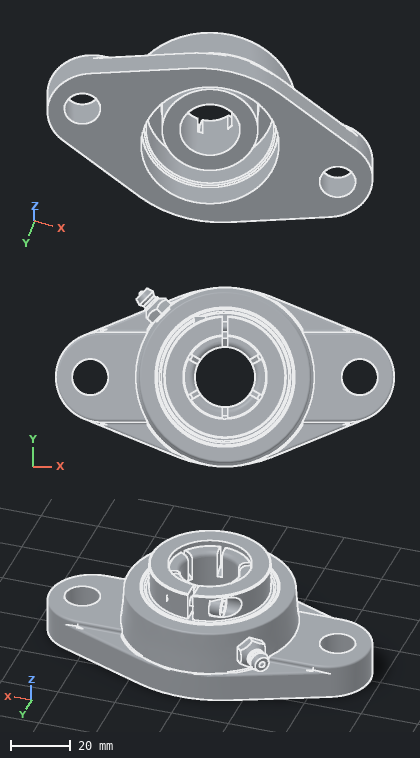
import cadquery as cq
import math

EAR_OFFSET = 41.5
EAR_RADIUS = 15.0
BOLT_OFFSET = 45.0
BOLT_DIAMETER = 12.0
EAR_HEIGHT = 12.3
WEB_HEIGHT = 10.3
EDGE_FILLET = 1.0
EAR_ROOT_FILLET = 0.9
FLANK_RADIUS = 42.0
FLANGE_WIDTH = 59.5
BOSS_BOTTOM_RADIUS = 30.0
BOSS_TOP_RADIUS = 28.7
BOSS_TOP = 25.5
BOSS_FILLET = 0.8
BOSS_ROOT_FILLET = 0.5
BORE_DIAMETER = 46.0
BORE_CHAMFER = 0.3

BEARING_HEIGHT = 17.5
SPHERE_DIAMETER = 48.0
OUTER_RING_WIDTH = 15.6
OUTER_RING_BORE = 42.7
OUTER_RING_CHAMFER = 0.6
SEAL_BORE = 32.5
SEAL_THICKNESS = 1.1
SHAFT_DIAMETER = 20.0
SHOULDER_DIAMETER = 32.0
SHOULDER_TOP = 25.1
SLEEVE_DIAMETER = 28.0
SLEEVE_TOP = 32.9
SLEEVE_CHAMFER = 0.3
SLEEVE_MOUTH_FILLET = 2.0
SLOT_COUNT = 6
SLOT_WIDTH = 1.8
SLOT_FLOOR = 23.3
SLOT_RAMP_RADIUS = 12.9

COLLAR_DIAMETER = 40.8
COLLAR_TOP = 34.8
COLLAR_CHAMFER = 0.3
SCREW_Y = 16.8
SCREW_HEIGHT = 30.1
SCREW_HEAD_DIAMETER = 7.0
SCREW_HEAD_START = -10.4
SCREW_HEAD_LENGTH = 4.0
SCREW_SHANK_DIAMETER = 3.3
SCREW_SHANK_END = 9.0
HEAD_POCKET_DIAMETER = 7.5
HEX_SOCKET_FLATS = 4.0
HEX_SOCKET_DEPTH = 1.7

NIPPLE_ANGLE = 135
NIPPLE_INNER_END = 24.9
NIPPLE_HEX_START = 29.7
NIPPLE_BEVEL_START = 32.1
NIPPLE_BEVEL_END = 34.2
NIPPLE_NECK_START = 34.9
NIPPLE_HEAD_START = 35.9
NIPPLE_HEAD_WIDEST = 37.2
NIPPLE_TIP = 39.3
NIPPLE_DOME_HEIGHT = 0.7
NIPPLE_THREAD_RADIUS = 3.0
NIPPLE_RIM_RADIUS = 2.9
NIPPLE_NECK_RADIUS = 2.5
NIPPLE_HEAD_RADIUS = 3.3
NIPPLE_TIP_RADIUS = 2.6
NIPPLE_DOME_RADIUS = 1.0
NIPPLE_HEX_FLATS = 9.0

HEX_CORNERS_PER_FLATS = 2 / math.sqrt(3)
HUB_RADIUS = FLANGE_WIDTH / 2
OUTER_RING_TOP = BEARING_HEIGHT + OUTER_RING_WIDTH / 2
OUTER_RING_BOTTOM = BEARING_HEIGHT - OUTER_RING_WIDTH / 2


def cylinder(diameter, bottom, top, x=0.0, y=0.0):
    """Upright cylinder between two heights."""
    return cq.Workplane("XY", origin=(x, y, bottom)).circle(diameter / 2).extrude(top - bottom)


def cylinder_along_x(diameter, start, end, y, z):
    """Cylinder parallel to X between two X positions."""
    return cq.Workplane("YZ", origin=(start, y, z)).circle(diameter / 2).extrude(end - start)


def bearing_sphere():
    return cq.Workplane("XY", origin=(0, 0, BEARING_HEIGHT)).sphere(SPHERE_DIAMETER / 2)


def on_nipple_axis(shape):
    """Lay a shape built upright on Z along the horizontal nipple axis."""
    tipped = shape.rotate((0, 0, 0), (0, 1, 0), 90)
    return tipped.rotate((0, 0, 0), (0, 0, 1), NIPPLE_ANGLE).translate((0, 0, BEARING_HEIGHT))


def flange_plate():
    """Web-height plate: two ear arcs joined by tangent lines to two flatter flank arcs."""
    flank_center_y = HUB_RADIUS - FLANK_RADIUS
    center_distance = math.hypot(EAR_OFFSET, flank_center_y)
    lean = math.asin((FLANK_RADIUS - EAR_RADIUS) / center_distance) + math.atan2(flank_center_y, EAR_OFFSET)
    ear_x = EAR_OFFSET + EAR_RADIUS * math.sin(lean)
    ear_y = EAR_RADIUS * math.cos(lean)
    flank_x = FLANK_RADIUS * math.sin(lean)
    flank_y = flank_center_y + FLANK_RADIUS * math.cos(lean)
    end_x = EAR_OFFSET + EAR_RADIUS
    return (
        cq.Workplane("XY")
        .moveTo(ear_x, ear_y)
        .lineTo(flank_x, flank_y)
        .threePointArc((0, HUB_RADIUS), (-flank_x, flank_y))
        .lineTo(-ear_x, ear_y)
        .threePointArc((-end_x, 0), (-ear_x, -ear_y))
        .lineTo(-flank_x, -flank_y)
        .threePointArc((0, -HUB_RADIUS), (flank_x, -flank_y))
        .lineTo(ear_x, -ear_y)
        .threePointArc((end_x, 0), (ear_x, ear_y))
        .close()
        .extrude(WEB_HEIGHT)
        .faces(">Z")
        .edges()
        .fillet(EDGE_FILLET)
    )


def raised_ears():
    """Thicker band that joins the two ears."""
    return (
        cq.Workplane("XY")
        .slot2D(2 * (EAR_OFFSET + EAR_RADIUS), 2 * EAR_RADIUS)
        .extrude(EAR_HEIGHT)
        .faces(">Z")
        .edges()
        .fillet(EDGE_FILLET)
    )


def ear_root_fillets():
    """Concave fillets where the sides of the raised band meet the webs."""
    strip = (
        cq.Workplane("YZ", origin=(-EAR_OFFSET, 0, 0))
        .moveTo(EAR_RADIUS, WEB_HEIGHT)
        .lineTo(EAR_RADIUS + EAR_ROOT_FILLET, WEB_HEIGHT)
        .radiusArc((EAR_RADIUS, WEB_HEIGHT + EAR_ROOT_FILLET), EAR_ROOT_FILLET)
        .close()
        .extrude(2 * EAR_OFFSET)
    )
    return strip.union(strip.mirror("XZ"))


def boss():
    """Tapered body round the bearing, on a straight hub that reaches the base."""
    cone = (
        cq.Workplane("YZ")
        .moveTo(0, WEB_HEIGHT)
        .lineTo(BOSS_BOTTOM_RADIUS, WEB_HEIGHT)
        .lineTo(BOSS_TOP_RADIUS, BOSS_TOP)
        .lineTo(0, BOSS_TOP)
        .close()
        .revolve(360, (0, 0), (0, 1))
        .faces(">Z")
        .edges()
        .fillet(BOSS_FILLET)
    )
    return cone.union(cylinder(2 * HUB_RADIUS, 0, WEB_HEIGHT))


def boss_root_fillet():
    """Small concave fillet round the foot of the boss, kept within the flat tops of the webs."""
    foot = BOSS_BOTTOM_RADIUS + BOSS_ROOT_FILLET
    inside = BORE_DIAMETER / 2
    ring = (
        cq.Workplane("YZ")
        .moveTo(inside, WEB_HEIGHT)
        .lineTo(foot, WEB_HEIGHT)
        .radiusArc((BOSS_BOTTOM_RADIUS, WEB_HEIGHT + BOSS_ROOT_FILLET), BOSS_ROOT_FILLET)
        .lineTo(inside, WEB_HEIGHT + BOSS_ROOT_FILLET)
        .close()
        .revolve(360, (0, 0), (0, 1))
    )
    web_outline = flange_plate().faces(">Z").wires().toPending().workplane()
    web_tops = web_outline.extrude(BOSS_ROOT_FILLET, combine=False)
    return ring.intersect(web_tops)


def make_housing():
    body = flange_plate().union(raised_ears()).union(ear_root_fillets())
    body = body.union(boss()).union(boss_root_fillet())
    body = body.cut(cylinder(BORE_DIAMETER, 0, BOSS_TOP))
    body = body.faces(">Z").edges("%CIRCLE").edges(cq.selectors.RadiusNthSelector(0)).chamfer(BORE_CHAMFER)
    body = body.cut(bearing_sphere())
    for x in (-BOLT_OFFSET, BOLT_OFFSET):
        body = body.cut(cylinder(BOLT_DIAMETER, 0, EAR_HEIGHT, x))
    return body.cut(on_nipple_axis(cylinder(2 * NIPPLE_THREAD_RADIUS, 0, NIPPLE_HEX_START)))


def make_nipple():
    """Grease nipple with a threaded shank, bevelled hexagon, necked head and domed tip."""
    hex_flat_radius = NIPPLE_HEX_FLATS / 2
    hex_corner_radius = hex_flat_radius * HEX_CORNERS_PER_FLATS
    turned = (
        cq.Workplane("XZ")
        .moveTo(0, NIPPLE_INNER_END)
        .lineTo(NIPPLE_THREAD_RADIUS, NIPPLE_INNER_END)
        .lineTo(NIPPLE_THREAD_RADIUS, NIPPLE_HEX_START)
        .lineTo(hex_corner_radius, NIPPLE_HEX_START)
        .lineTo(hex_corner_radius, NIPPLE_BEVEL_START)
        .lineTo(NIPPLE_RIM_RADIUS, NIPPLE_BEVEL_END)
        .lineTo(NIPPLE_RIM_RADIUS, NIPPLE_NECK_START)
        .lineTo(NIPPLE_NECK_RADIUS, NIPPLE_NECK_START)
        .lineTo(NIPPLE_NECK_RADIUS, NIPPLE_HEAD_START)
        .lineTo(NIPPLE_HEAD_RADIUS, NIPPLE_HEAD_WIDEST)
        .lineTo(NIPPLE_TIP_RADIUS, NIPPLE_TIP)
        .lineTo(NIPPLE_DOME_RADIUS, NIPPLE_TIP)
        .threePointArc(
            (NIPPLE_DOME_RADIUS * math.sqrt(0.5), NIPPLE_TIP + NIPPLE_DOME_HEIGHT * math.sqrt(0.5)),
            (0, NIPPLE_TIP + NIPPLE_DOME_HEIGHT),
        )
        .close()
        .revolve(360, (0, 0), (0, 1))
    )
    hexagon = (
        cq.Workplane("XY", origin=(0, 0, NIPPLE_INNER_END))
        .polygon(6, 2 * hex_corner_radius)
        .extrude(NIPPLE_TIP + NIPPLE_DOME_HEIGHT - NIPPLE_INNER_END)
    )
    return on_nipple_axis(turned.intersect(hexagon))


def make_outer_ring():
    """Bearing outer ring with a spherical outside and chamfered bore edges."""
    blank = cylinder(SPHERE_DIAMETER, OUTER_RING_BOTTOM, OUTER_RING_TOP)
    ring_bore = cylinder(OUTER_RING_BORE, OUTER_RING_BOTTOM, OUTER_RING_TOP)
    ring = blank.cut(ring_bore).faces("<Z or >Z").edges(cq.selectors.RadiusNthSelector(0))
    return ring.chamfer(OUTER_RING_CHAMFER).intersect(bearing_sphere())


def make_seal():
    """Flat ring between the bearing rings, level with the foot of the outer ring's chamfer."""
    top = OUTER_RING_TOP - OUTER_RING_CHAMFER
    bottom = top - SEAL_THICKNESS
    return cylinder(OUTER_RING_BORE, bottom, top).cut(cylinder(SEAL_BORE, bottom, top))


def sleeve_slot():
    """One radial slot along +X; its floor rises outward from the bore to the shoulder."""
    outside = SHOULDER_DIAMETER / 2
    return (
        cq.Workplane("XZ", origin=(0, SLOT_WIDTH / 2, 0))
        .moveTo(0, SLOT_FLOOR)
        .lineTo(SHAFT_DIAMETER / 2, SLOT_FLOOR)
        .lineTo(SLOT_RAMP_RADIUS, SHOULDER_TOP)
        .lineTo(outside, SHOULDER_TOP)
        .lineTo(outside, SLEEVE_TOP)
        .lineTo(0, SLEEVE_TOP)
        .close()
        .extrude(SLOT_WIDTH)
    )


def make_inner_ring():
    """Bearing inner ring with a slotted sleeve that the collar squeezes."""
    ring = cylinder(SHOULDER_DIAMETER, OUTER_RING_BOTTOM, SHOULDER_TOP)
    ring = ring.union(cylinder(SLEEVE_DIAMETER, SHOULDER_TOP, SLEEVE_TOP).faces(">Z").chamfer(SLEEVE_CHAMFER))
    ring = ring.cut(cylinder(SHAFT_DIAMETER, OUTER_RING_BOTTOM, SLEEVE_TOP))
    mouth_edge = ring.faces(">Z").edges(cq.selectors.RadiusNthSelector(0))
    ring = mouth_edge.fillet(SLEEVE_MOUTH_FILLET)
    slot_pitch = 360 / SLOT_COUNT
    for index in range(SLOT_COUNT):
        ring = ring.cut(sleeve_slot().rotate((0, 0, 0), (0, 0, 1), (index + 0.5) * slot_pitch))
    return ring


def make_collar():
    """Clamping collar, split on the +Y side and crossed there by the screw."""
    collar = cylinder(COLLAR_DIAMETER, SHOULDER_TOP, COLLAR_TOP).faces(">Z").chamfer(COLLAR_CHAMFER)
    collar = collar.cut(cylinder(SLEEVE_DIAMETER, SHOULDER_TOP, COLLAR_TOP))
    split = (
        cq.Workplane("XY", origin=(0, 0, SHOULDER_TOP))
        .rect(SLOT_WIDTH, COLLAR_DIAMETER / 2, centered=(True, False))
        .extrude(COLLAR_TOP - SHOULDER_TOP)
    )
    head_seat = SCREW_HEAD_START + SCREW_HEAD_LENGTH
    head_pocket = cylinder_along_x(
        HEAD_POCKET_DIAMETER, -COLLAR_DIAMETER / 2, head_seat, SCREW_Y, SCREW_HEIGHT
    )
    shank_hole = cylinder_along_x(
        SCREW_SHANK_DIAMETER, head_seat, SCREW_SHANK_END, SCREW_Y, SCREW_HEIGHT
    )
    return collar.cut(split).cut(head_pocket).cut(shank_hole)


def make_screw():
    """Socket head screw parallel to X."""
    head_seat = SCREW_HEAD_START + SCREW_HEAD_LENGTH
    head = cylinder_along_x(SCREW_HEAD_DIAMETER, SCREW_HEAD_START, head_seat, SCREW_Y, SCREW_HEIGHT)
    shank = cylinder_along_x(SCREW_SHANK_DIAMETER, head_seat, SCREW_SHANK_END, SCREW_Y, SCREW_HEIGHT)
    socket = (
        cq.Workplane("YZ", origin=(SCREW_HEAD_START, SCREW_Y, SCREW_HEIGHT))
        .transformed(rotate=(0, 0, 90))
        .polygon(6, HEX_SOCKET_FLATS * HEX_CORNERS_PER_FLATS)
        .extrude(HEX_SOCKET_DEPTH)
    )
    return head.union(shank).cut(socket)


housing = make_housing()
nipple = make_nipple()
outer_ring = make_outer_ring()
seal = make_seal()
inner_ring = make_inner_ring()
collar = make_collar()
screw = make_screw()

result = cq.Compound.makeCompound([
    housing.val(),
    nipple.val(),
    outer_ring.val(),
    seal.val(),
    inner_ring.val(),
    collar.val(),
    screw.val(),
])